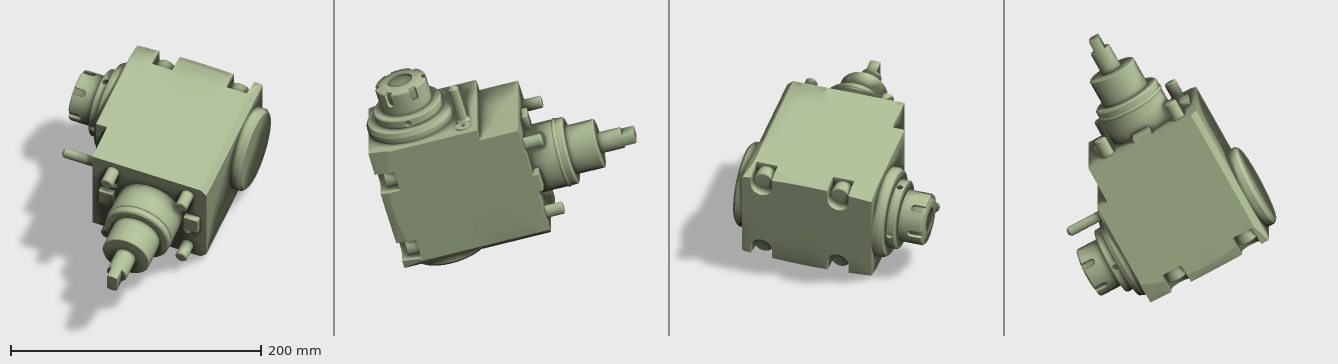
import cadquery as cq
import math


block_left = -60.0
block_right = 48.0
block_back = 121.5
block_height = 85.0
block_top = block_height / 2
step_x = -50.0
step_y = 32.0
right_chamfer = 5.0
left_chamfer = 0.7

relief_x = (block_left + block_right) / 2
relief_radius = 130.0
relief_inset = 6.0
relief_y = block_back - relief_inset - relief_radius
relief_slope = math.tan(math.radians(15))
relief_reach = 30.0

screw_pitch = 64.0
screw_radius = 5.0
screw_protrusion = 14.8
screw_chamfer = 0.8
head_radius = 8.0
head_length = 10.0
head_chamfer = 0.7
pocket_radius = 8.85
pocket_depth = 16.2

key_width = 15.0
key_protrusion = 5.0
key_chamfer = 0.4
side_key_inner = 30.4
side_key_outer = 42.5
bottom_key_inner = 30.9

small_hole_radius = 3.6
small_hole_depth = 10.0
small_hole_x = 32.0
small_hole_z = 14.0
drill_point = 0.6

pilot_radius = 27.5
pilot_length = 30.0
pilot_chamfer = 1.2
ring_width = 3.0
ring_bulge = 0.7
groove_start = 24.0
groove_width = 0.6
groove_depth = 0.5
collar_radius = 20.0
collar_end = 53.5
collar_chamfer = 0.6
shaft_radius = 8.5
shaft_shoulder = 72.8
shaft_chamfer = 0.5
tang_thickness = 8.4
tang_end = 83.0

spindle_y = 85.0
flange_radius = block_back - spindle_y
flange_front = -68.6
flange_front_radius = 34.8
flange_cone_start = -65.2
bearing_ring_radius = 28.0
bearing_ring_front = -76.3
bearing_ring_chamfer = 0.8
pin_hole_radius = 2.7
pin_hole_depth = 5.0
pin_hole_x = (bearing_ring_front + flange_front) / 2

cap_radius = 34.5
cap_end = 57.0
cap_chamfer = 2.5

pipe_y = 42.8
pipe_z = -22.2
pipe_radius = 4.0
pipe_end = -92.4
pipe_chamfer = 2.0
ball_radius = 6.5
ball_x = -57.5
plug_z = -32.0
plug_radius = 6.1
plug_height = 1.2
plug_socket_radius = 1.9
plug_socket_depth = 3.0

nut_front = -97.6
nut_back = -77.4
nut_radius = 21.0
nut_face_radius = 15.1
nut_cone_x = -96.4
nut_cone_radius = 20.4
nut_chamfer_x = -95.3
nut_neck_radius = 16.2
nut_recess_radius = 10.4
nut_recess_depth = 2.0
nut_slot_count = 6
nut_slot_width = 6.0
nut_slot_floor = 17.7
nut_slot_end = -85.2


def cylinder(start, direction, radius, length):
    """Solid cylinder from a start point along a direction."""
    return cq.Workplane(cq.Solid.makeCylinder(radius, length, cq.Vector(*start), cq.Vector(*direction)))


def drilled_hole(start, direction, radius, depth):
    """Blind hole with a conical drill point."""
    tip_start = tuple(s + depth * d for s, d in zip(start, direction))
    tip_length = drill_point * radius
    tip = cq.Solid.makeCone(radius, 0, tip_length, cq.Vector(*tip_start), cq.Vector(*direction))
    return cylinder(start, direction, radius, depth).union(cq.Workplane(tip))


def revolve_about_spindle(profile):
    """Turn (x, radius) points about the spindle axis."""
    outline = cq.Workplane("XY").polyline(profile).close()
    return outline.revolve(360, (0, 0, 0), (1, 0, 0)).translate((0, spindle_y, 0))


def around_spindle(shape, angle):
    """Rotate a shape about the spindle axis."""
    return shape.rotate((0, spindle_y, 0), (1, spindle_y, 0), angle)


def make_block():
    """Stepped block with chamfered side faces and conically relieved rear edges."""
    outline = [
        (step_x, 0),
        (block_right, 0),
        (block_right, block_back),
        (block_left, block_back),
        (block_left, step_y),
        (step_x, step_y),
    ]
    block = cq.Workplane("XY").workplane(offset=-block_top).polyline(outline).close().extrude(block_height)
    block = block.edges("|Y and >X").chamfer(right_chamfer)
    block = block.faces("<X").edges("|Y or <Y").chamfer(left_chamfer)

    relief_drop = relief_reach * relief_slope
    relief_profile = [
        (0, -block_top),
        (relief_radius, -block_top),
        (relief_radius + relief_reach, relief_drop - block_top),
        (relief_radius + relief_reach, block_top - relief_drop),
        (relief_radius, block_top),
        (0, block_top),
    ]
    relief = cq.Workplane("XZ").polyline(relief_profile).close().revolve(360, (0, 0, 0), (0, 1, 0))
    return block.intersect(relief.translate((relief_x, relief_y, 0)))


def cut_screw_pocket(body, x, side):
    """Round-bottomed pocket in the rear face, open to the top (side 1) or bottom (side -1)."""
    z = side * screw_pitch / 2
    pocket_floor = block_back - pocket_depth
    body = body.cut(cylinder((x, pocket_floor, z), (0, 1, 0), pocket_radius, pocket_depth))
    centered_in_x = (True, False, False)
    opening = cq.Workplane("XY").box(2 * pocket_radius, pocket_depth, block_top, centered=centered_in_x)
    if side < 0:
        opening = opening.mirror("XY")
    return body.cut(opening.translate((x, pocket_floor, z)))


def make_screw(x, z):
    """Head in the rear pocket and threaded end in front of the mounting face."""
    head_start = block_back - pocket_depth
    head = cylinder((x, head_start, z), (0, 1, 0), head_radius, head_length)
    head = head.faces(">Y").chamfer(head_chamfer)
    end = cylinder((x, 0, z), (0, -1, 0), screw_radius, screw_protrusion)
    return head, end.faces("<Y").chamfer(screw_chamfer)


def make_key(x_low, x_high, z_low, z_high):
    """Rectangular key standing on the mounting face."""
    key = cq.Workplane("XY").box(x_high - x_low, key_protrusion, z_high - z_low, centered=False)
    key = key.faces("<Y").chamfer(key_chamfer)
    return key.translate((x_low, -key_protrusion, z_low))


def make_drive_side():
    """Pilot with a rounded sealing ring, collar and tanged shaft turned about the Y axis."""
    ring_middle = groove_start - ring_width / 2
    groove_end = groove_start + groove_width
    turned = (
        cq.Workplane("XY")
        .lineTo(pilot_radius, 0)
        .lineTo(pilot_radius, ring_width - groove_start)
        .threePointArc((pilot_radius + ring_bulge, -ring_middle), (pilot_radius, -groove_start))
        .lineTo(pilot_radius - groove_depth, -groove_start)
        .lineTo(pilot_radius - groove_depth, -groove_end)
        .lineTo(pilot_radius, -groove_end)
        .lineTo(pilot_radius, pilot_chamfer - pilot_length)
        .lineTo(pilot_radius - pilot_chamfer, -pilot_length)
        .lineTo(collar_radius, -pilot_length)
        .lineTo(collar_radius, collar_chamfer - collar_end)
        .lineTo(collar_radius - collar_chamfer, -collar_end)
        .lineTo(shaft_radius, -collar_end)
        .lineTo(shaft_radius, shaft_chamfer - shaft_shoulder)
        .lineTo(shaft_radius - shaft_chamfer, -shaft_shoulder)
        .lineTo(0, -shaft_shoulder)
        .close()
        .revolve(360, (0, 0, 0), (0, 1, 0))
    )
    tang_length = tang_end - collar_end
    tang = cylinder((0, -collar_end, 0), (0, -1, 0), shaft_radius, tang_length)
    slab = cq.Workplane("XY").box(tang_thickness, tang_length, 2 * shaft_radius)
    return turned.union(tang.intersect(slab.translate((0, -(collar_end + tang_end) / 2, 0))))


def make_spindle_side():
    """Conical flange and bearing ring with radial pin holes."""
    profile = [
        (block_left, 0),
        (block_left, flange_radius),
        (flange_cone_start, flange_radius),
        (flange_front, flange_front_radius),
        (flange_front, bearing_ring_radius - bearing_ring_chamfer),
        (flange_front - bearing_ring_chamfer, bearing_ring_radius),
        (bearing_ring_front + bearing_ring_chamfer, bearing_ring_radius),
        (bearing_ring_front, bearing_ring_radius - bearing_ring_chamfer),
        (bearing_ring_front, 0),
    ]
    side = revolve_about_spindle(profile)
    hole_start = (pin_hole_x, spindle_y, bearing_ring_radius)
    hole = drilled_hole(hole_start, (0, 0, -1), pin_hole_radius, pin_hole_depth)
    for angle in range(0, 360, 90):
        side = side.cut(around_spindle(hole, angle))
    return side


def make_rear_cap():
    """Round cover on the right face, opposite the spindle."""
    cap = cylinder((block_right, spindle_y, 0), (1, 0, 0), cap_radius, cap_end - block_right)
    return cap.faces(">X").chamfer(cap_chamfer)


def make_coolant_pipe():
    """Straight pipe growing out of a ball seat."""
    pipe = cylinder((ball_x, pipe_y, pipe_z), (-1, 0, 0), pipe_radius, ball_x - pipe_end)
    pipe = pipe.faces("<X").chamfer(pipe_chamfer)
    ball = cq.Workplane("XY").sphere(ball_radius).translate((ball_x, pipe_y, pipe_z))
    return pipe.union(ball)


def make_plug():
    """Low round plug below the coolant pipe."""
    return cylinder((block_left, pipe_y, plug_z), (-1, 0, 0), plug_radius, plug_height)


def make_housing():
    """Block with everything fixed to it."""
    body = make_block()
    half_pitch = screw_pitch / 2
    for x in (-half_pitch, half_pitch):
        for side in (-1, 1):
            body = cut_screw_pocket(body, x, side)
            head, end = make_screw(x, side * half_pitch)
            body = body.union(head).union(end)

    half_key = key_width / 2
    body = body.union(make_key(-side_key_outer, -side_key_inner, -half_key, half_key))
    body = body.union(make_key(side_key_inner, side_key_outer, -half_key, half_key))
    body = body.union(make_key(-half_key, half_key, -block_top, -bottom_key_inner))

    body = body.union(make_drive_side())
    body = body.union(make_spindle_side())
    body = body.union(make_rear_cap())
    body = body.union(make_plug())
    socket_start = (block_left - plug_height, pipe_y, plug_z)
    body = body.cut(cylinder(socket_start, (1, 0, 0), plug_socket_radius, plug_socket_depth))
    body = body.union(make_coolant_pipe())

    pointed_start = (-small_hole_x, 0, small_hole_z)
    body = body.cut(drilled_hole(pointed_start, (0, 1, 0), small_hole_radius, small_hole_depth))
    flat_start = (small_hole_x, 0, -small_hole_z)
    return body.cut(cylinder(flat_start, (0, 1, 0), small_hole_radius, small_hole_depth))


def make_clamping_nut():
    """Collet nut with a neck that meets the bearing ring and six wrench slots."""
    profile = [
        (nut_front + nut_recess_depth, 0),
        (nut_front + nut_recess_depth, nut_recess_radius),
        (nut_front, nut_recess_radius),
        (nut_front, nut_face_radius),
        (nut_cone_x, nut_cone_radius),
        (nut_chamfer_x, nut_radius),
        (nut_back, nut_radius),
        (nut_back, nut_neck_radius),
        (bearing_ring_front, nut_neck_radius),
        (bearing_ring_front, 0),
    ]
    nut = revolve_about_spindle(profile)

    round_center = nut_slot_end - nut_slot_width / 2
    half_width = nut_slot_width / 2
    slot = (
        cq.Workplane("XZ", origin=(0, spindle_y - nut_slot_floor, 0))
        .moveTo(nut_front, -half_width)
        .lineTo(round_center, -half_width)
        .threePointArc((nut_slot_end, 0), (round_center, half_width))
        .lineTo(nut_front, half_width)
        .close()
        .extrude(nut_radius)
    )
    for index in range(nut_slot_count):
        nut = nut.cut(around_spindle(slot, index * 360 / nut_slot_count))
    return nut


housing = make_housing()
clamping_nut = make_clamping_nut()
result = cq.Compound.makeCompound([housing.val(), clamping_nut.val()])